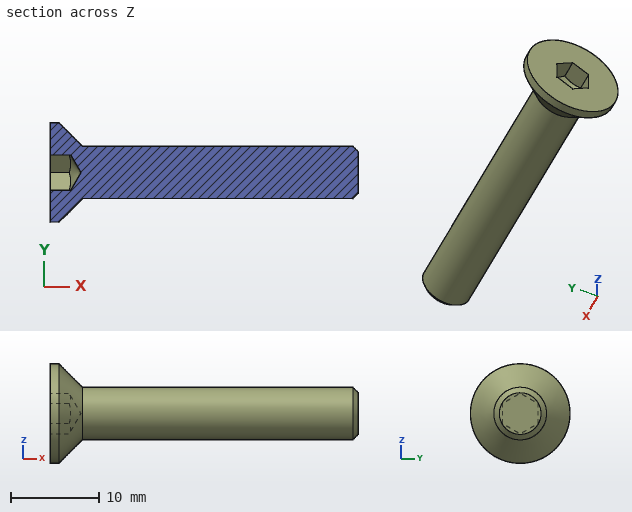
import cadquery as cq
import math

length = 35.0
head_diameter = 11.35
shank_diameter = 6.0
rim_thickness = 1.0
tip_chamfer = 0.63
socket_across_flats = 4.0
socket_depth = 2.17
socket_point_half_angle = 60.0

head_radius = head_diameter / 2
shank_radius = shank_diameter / 2
head_height = rim_thickness + head_radius - shank_radius


def make_body():
    """Revolve the half profile of head, shank and chamfered tip about X."""
    profile = [
        (0, 0),
        (0, head_radius),
        (rim_thickness, head_radius),
        (head_height, shank_radius),
        (length - tip_chamfer, shank_radius),
        (length, shank_radius - tip_chamfer),
        (length, 0),
    ]
    return cq.Workplane("XY").polyline(profile).close().revolve(360, (0, 0), (1, 0))


def make_socket():
    """Hexagonal socket with corners up and down, ending in a conical point."""
    corner_radius = socket_across_flats / math.sqrt(3)
    point_depth = corner_radius / math.tan(math.radians(socket_point_half_angle))
    full_depth = socket_depth + point_depth
    hexagon = (
        cq.Workplane("YZ")
        .transformed(rotate=(0, 0, 90))
        .polygon(6, 2 * corner_radius)
        .extrude(full_depth)
    )
    pointed_envelope = (
        cq.Workplane("XY")
        .polyline([(0, 0), (0, corner_radius), (socket_depth, corner_radius), (full_depth, 0)])
        .close()
        .revolve(360, (0, 0), (1, 0))
    )
    return hexagon.intersect(pointed_envelope)


result = make_body().cut(make_socket()).translate((-length / 2, 0, 0))